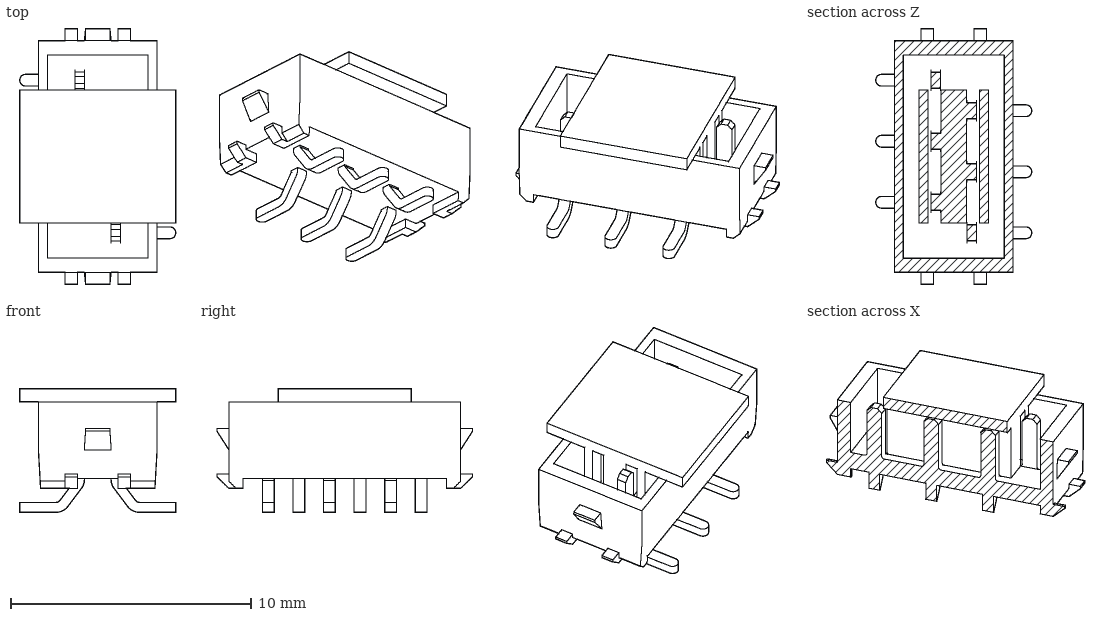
import cadquery as cq
import math


body_width = 4.95
body_length = 9.65
body_top = 4.6
body_bottom = 1.4
foot_bottom = 1.0
taper_start = 2.6
taper_inset = 0.09
foot_chamfer = 0.3

cavity_width = 4.2
cavity_length = 8.45
cavity_floor = 2.2
floor_radius = 0.1

foot_gap = 1.68

latch_reach = 0.5
latch_lip = 0.12
middle_latch_top = 3.5
middle_latch_bottom = taper_start
middle_latch_top_width = 1.0
middle_latch_bottom_width = 1.12
foot_latch_top = 1.6
foot_latch_width = 0.53

cap_width = 6.5
cap_length = 5.54
cap_thickness = 0.55
stem_width = 2.9
stem_slot_width = 0.53
stem_slot_offset = 0.8

pin_count = 6
pin_pitch = 1.27
pin_offset = 0.75
pin_thickness = 0.4
pin_width = 0.67
pin_top = 4.55
pin_chamfer = 0.19
leg_width = 0.5
leg_thickness = 0.42
leg_tip = cap_width / 2
leg_angle = 53
leg_knee_height = 1.33
bend_outer_radius = 0.6
bend_inner_radius = 0.2

body_half_length = body_length / 2


def box(width, length, bottom, top):
    """Block centred on the Z axis between two heights."""
    return (
        cq.Workplane("XY").workplane(offset=bottom)
        .rect(width, length).extrude(top - bottom)
    )


def prism_along_x(points, width):
    """YZ outline extruded symmetrically about X = 0."""
    return cq.Workplane("YZ").polyline(points).close().extrude(width / 2, both=True)


def prism_along_y(points, length):
    """XZ outline extruded symmetrically about Y = 0."""
    return cq.Workplane("XZ").polyline(points).close().extrude(length / 2, both=True)


def make_housing():
    half = body_width / 2
    housing = prism_along_y(
        [
            (-half, body_top),
            (half, body_top),
            (half, taper_start),
            (half - taper_inset, foot_bottom),
            (-half + taper_inset, foot_bottom),
            (-half, taper_start),
        ],
        body_length,
    )
    housing = housing.faces("<Z").edges("|X").chamfer(foot_chamfer)

    housing = housing.cut(box(body_width, cavity_length, foot_bottom, body_bottom))
    housing = housing.cut(box(foot_gap, body_length, foot_bottom, body_bottom))

    cavity = box(cavity_width, cavity_length, cavity_floor, body_top)
    cavity = cavity.faces("<Z").edges("|Y").fillet(floor_radius)
    return housing.cut(cavity)


def make_middle_latch():
    """Wedge in the middle of the +Y end wall, with slightly flared flanks."""
    tip = body_half_length + latch_reach
    root = cavity_length / 2
    wedge = prism_along_x(
        [
            (root, middle_latch_top),
            (tip, middle_latch_top),
            (tip, middle_latch_top - latch_lip),
            (body_half_length, middle_latch_bottom),
            (root, middle_latch_bottom),
        ],
        middle_latch_bottom_width,
    )
    flanks = prism_along_y(
        [
            (-middle_latch_top_width / 2, middle_latch_top),
            (middle_latch_top_width / 2, middle_latch_top),
            (middle_latch_bottom_width / 2, middle_latch_bottom),
            (-middle_latch_bottom_width / 2, middle_latch_bottom),
        ],
        2 * tip,
    )
    return wedge.intersect(flanks)


def make_foot_latch():
    """Hook at the inner edge of the +X foot of the +Y end."""
    tip = body_half_length + latch_reach
    root = cavity_length / 2
    hook = prism_along_x(
        [
            (root, foot_latch_top),
            (tip, foot_latch_top),
            (tip, foot_latch_top - latch_lip),
            (body_half_length, foot_bottom),
            (root, foot_bottom),
        ],
        foot_latch_width,
    )
    return hook.translate(((foot_gap + foot_latch_width) / 2, 0, 0))


def make_cap():
    cap = box(cap_width, cap_length, body_top, body_top + cap_thickness)
    stem = box(stem_width, cap_length, cavity_floor, body_top)
    for side in (-1, 1):
        slot = box(stem_slot_width, cap_length, cavity_floor, body_top)
        stem = stem.cut(slot.translate((side * stem_slot_offset, 0, 0)))
    return cap.union(stem)


def make_leg():
    """Bent solder leg running out to +X, from the pin root inside the housing floor."""
    angle = math.radians(leg_angle)
    inner_x = pin_offset - pin_thickness / 2
    outer_x = pin_offset + pin_thickness / 2
    heel_top_x = outer_x + (leg_knee_height - leg_thickness) / math.tan(angle)
    heel_bottom_x = heel_top_x - leg_thickness * math.tan(angle / 2)
    knee_bottom = (heel_bottom_x - inner_x) * math.tan(angle)

    leg = (
        cq.Workplane("XZ")
        .moveTo(inner_x, cavity_floor)
        .lineTo(inner_x, knee_bottom)
        .lineTo(heel_bottom_x, 0)
        .lineTo(leg_tip, 0)
        .lineTo(leg_tip, leg_thickness)
        .lineTo(heel_top_x, leg_thickness)
        .lineTo(outer_x, leg_knee_height)
        .lineTo(outer_x, cavity_floor)
        .close()
        .extrude(leg_width / 2, both=True)
    )
    bends = (
        (inner_x, knee_bottom, bend_outer_radius),
        (heel_bottom_x, 0, bend_outer_radius),
        (heel_top_x, leg_thickness, bend_inner_radius),
    )
    for x, z, radius in bends:
        leg = leg.edges(cq.selectors.NearestToPointSelector((x, 0, z))).fillet(radius)

    tip_radius = leg_width / 2
    plan = (
        cq.Workplane("XY")
        .moveTo(0, -tip_radius)
        .lineTo(leg_tip - tip_radius, -tip_radius)
        .threePointArc((leg_tip, 0), (leg_tip - tip_radius, tip_radius))
        .lineTo(0, tip_radius)
        .close()
        .extrude(cavity_floor)
    )
    return leg.intersect(plan)


def make_pin():
    """Flat upright pin with a chamfered tip and a rounded root on the cavity floor."""
    half = pin_width / 2
    flare = half + floor_radius
    arc_rise = floor_radius * (1 - math.sqrt(0.5))
    shoulder = pin_top - pin_chamfer
    tip_half = half - pin_chamfer
    return (
        cq.Workplane("YZ").workplane(offset=pin_offset - pin_thickness / 2)
        .moveTo(-flare, body_bottom)
        .lineTo(-flare, cavity_floor)
        .threePointArc(
            (-half - arc_rise, cavity_floor + arc_rise),
            (-half, cavity_floor + floor_radius),
        )
        .lineTo(-half, shoulder)
        .lineTo(-tip_half, pin_top)
        .lineTo(tip_half, pin_top)
        .lineTo(half, shoulder)
        .lineTo(half, cavity_floor + floor_radius)
        .threePointArc(
            (half + arc_rise, cavity_floor + arc_rise),
            (flare, cavity_floor),
        )
        .lineTo(flare, body_bottom)
        .close()
        .extrude(pin_thickness)
    )


def make_part():
    part = make_housing().union(make_cap())

    middle_latch = make_middle_latch()
    foot_latch = make_foot_latch()
    foot_latches = foot_latch.union(foot_latch.mirror("YZ"))
    end_latches = middle_latch.union(foot_latches)
    part = part.union(end_latches).union(end_latches.mirror("XZ"))

    right_contact = make_pin().union(make_leg())
    left_contact = right_contact.mirror("YZ")
    for index in range(pin_count):
        contact = right_contact if index % 2 == 0 else left_contact
        y = (index - (pin_count - 1) / 2) * pin_pitch
        part = part.union(contact.translate((0, y, 0)))
    return part


result = make_part()